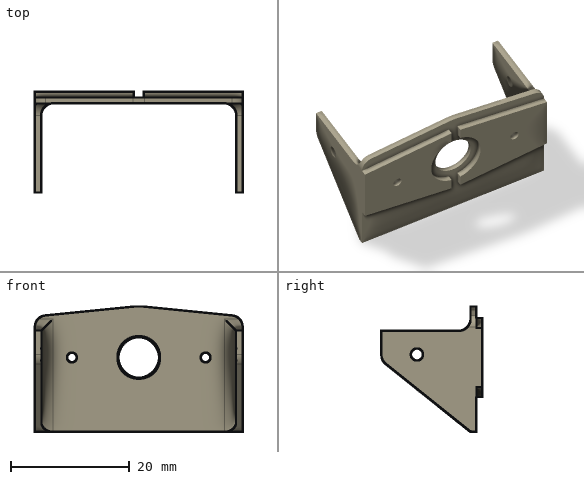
import cadquery as cq

width = 35.0
sheet = 1.0
leg_thickness = 1.1
leg_reach = 15.0
leg_height = 17.0
bend_radius = 2.0

shoulder_height = 19.42
roof_slope = 0.1
shoulder_radius = 2.0
ridge_radius = 10.0

leg_tip_height = 12.0
leg_tip_radius = 2.0

hole_height = 12.5
bore_diameter = 6.8
bore_chamfer = 0.2
screw_diameter = 1.6
screw_spacing = 22.5
pivot_diameter = 2.0
pivot_height = 13.0
pivot_from_plate = 9.0

pad_gap = 1.66
pad_half_height = 5.0
pad_bore_clearance = 9.5

half_width = width / 2
ridge_height = shoulder_height + roof_slope * half_width
joint_tolerance = 0.01
plate_front = -sheet
leg_tip = plate_front - leg_reach


def front_prism(points, y_back, depth):
    """Extrude an XZ outline from y_back toward -Y."""
    return cq.Workplane("XZ", origin=(0, y_back, 0)).polyline(points).close().extrude(depth)


def cylinder_along_y(x, diameter, y_back, depth):
    """Cylinder with its axis along Y at the height of the bore."""
    return cq.Workplane("XZ", origin=(x, y_back, hole_height)).circle(diameter / 2).extrude(depth)


def make_leg(side):
    """Rectangular leg at the left (side = -1) or right (side = 1) end."""
    center_x = side * (half_width - leg_thickness / 2)
    return (
        cq.Workplane("XY")
        .box(leg_thickness, leg_reach + sheet, leg_height, centered=(True, False, False))
        .translate((center_x, leg_tip, 0))
    )


def make_blended_blank():
    """Oversized plate with two legs, blended at the inner corners and over the legs."""
    blank = cq.Workplane("XY").box(width, sheet, ridge_height, centered=(True, False, False))
    blank = blank.translate((0, plate_front, 0))
    for side in (-1, 1):
        blank = blank.union(make_leg(side))
    plate_joints = cq.selectors.BoxSelector(
        (-half_width, plate_front - joint_tolerance, joint_tolerance),
        (half_width, plate_front + joint_tolerance, leg_height + joint_tolerance),
    )
    return blank.edges(plate_joints).fillet(bend_radius)


def make_roof_outline():
    """Front outline of the whole bracket, with rounded shoulders and ridge."""
    outline = front_prism(
        [
            (-half_width, 0),
            (half_width, 0),
            (half_width, shoulder_height),
            (0, ridge_height),
            (-half_width, shoulder_height),
        ],
        0,
        leg_reach + sheet,
    )
    outline = outline.edges("|Y").edges(">Z").fillet(ridge_radius)
    for side in ("<X", ">X"):
        outline = outline.edges("|Y").edges(side).edges(">Z").fillet(shoulder_radius)
    return outline


def make_side_outline():
    """Side outline that slopes the underside of the legs and rounds their tips."""
    outline = (
        cq.Workplane("YZ", origin=(-half_width, 0, 0))
        .polyline(
            [
                (0, 0),
                (plate_front, 0),
                (leg_tip, leg_tip_height),
                (leg_tip, ridge_height),
                (0, ridge_height),
            ]
        )
        .close()
        .extrude(width)
    )
    return outline.edges("|X").edges("<Y").edges("<Z").fillet(leg_tip_radius)


def make_pad(side):
    """Back pad on one side, growing taller toward the middle."""
    inner = pad_gap / 2
    inner_half_height = pad_half_height + roof_slope * (half_width - inner)
    pad = front_prism(
        [
            (side * half_width, hole_height - pad_half_height),
            (side * half_width, hole_height + pad_half_height),
            (side * inner, hole_height + inner_half_height),
            (side * inner, hole_height - inner_half_height),
        ],
        sheet,
        sheet,
    )
    return pad.cut(cylinder_along_y(0, pad_bore_clearance, sheet, sheet))


def cut_holes(body):
    """Chamfered centre bore, two screw holes and the pivot holes in the legs."""
    bore = cylinder_along_y(0, bore_diameter, sheet, 2 * sheet)
    countersink = cq.Workplane(
        cq.Solid.makeCone(
            bore_diameter / 2 + bore_chamfer,
            bore_diameter / 2,
            bore_chamfer,
            cq.Vector(0, plate_front, hole_height),
            cq.Vector(0, 1, 0),
        )
    )
    body = body.cut(bore).cut(countersink)
    for side in (-1, 1):
        body = body.cut(cylinder_along_y(side * screw_spacing / 2, screw_diameter, sheet, 2 * sheet))
    pivot = (
        cq.Workplane("YZ", origin=(-half_width, plate_front - pivot_from_plate, pivot_height))
        .circle(pivot_diameter / 2)
        .extrude(width)
    )
    return body.cut(pivot)


bracket = make_blended_blank().intersect(make_roof_outline()).intersect(make_side_outline())
for pad_side in (-1, 1):
    bracket = bracket.union(make_pad(pad_side))
result = cut_holes(bracket)